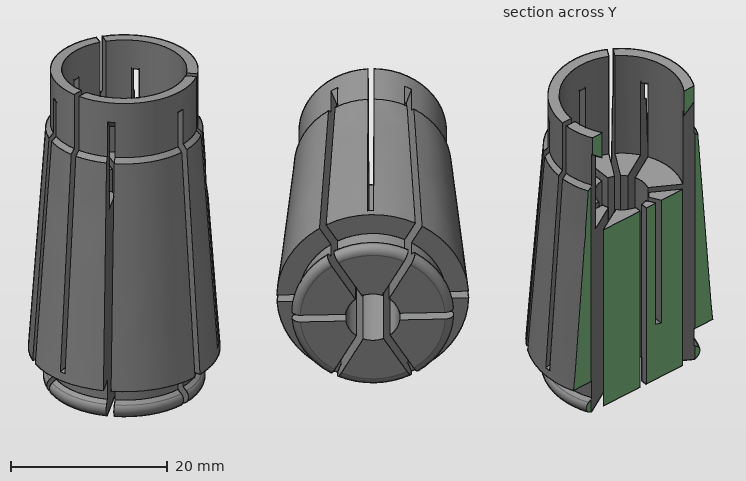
import cadquery as cq
import math

height = 45.1
neck_radius = 9.43

bead_radius = 10.35
bead_round = 1.1
bead_shoulder_z = 1.9
neck_start_z = 2.35

cone_bottom_z = 5.05
cone_bottom_diameter = 24.5
cone_bottom_radius = cone_bottom_diameter / 2
cone_top_z = 36.7
cone_half_angle = 4.0
cone_chamfer_angle = 45.0

hole_radius = 3.47
counterbore_radius = 8.0
counterbore_floor_z = 29.05

blade_radius = 20.0
lower_slot_width = 1.0
lower_slot_angles = [30, 90, 150, 210, 270, 330]
lower_blade_offset = 22.35
lower_blade_z = 27.1
upper_slot_width = 0.75
upper_slot_angles = [60, 180, 300]
upper_blade_offset = 15.55
upper_blade_z = 25.95

overrun = 0.45
slot_reach = cone_bottom_radius + overrun


def make_body():
    """Solid of revolution: bead, neck, cone, chamfer and sleeve."""
    bead_centre = bead_radius - bead_round
    shoulder_rise = bead_shoulder_z - bead_round
    shoulder_radius = bead_centre + math.sqrt(bead_round**2 - shoulder_rise**2)
    cone_length = cone_top_z - cone_bottom_z
    cone_top_radius = cone_bottom_radius - cone_length * math.tan(math.radians(cone_half_angle))
    chamfer_rise = (cone_top_radius - neck_radius) * math.tan(math.radians(cone_chamfer_angle))
    return (
        cq.Workplane("XZ")
        .lineTo(bead_centre, 0)
        .threePointArc((bead_radius, bead_round), (shoulder_radius, bead_shoulder_z))
        .lineTo(neck_radius, neck_start_z)
        .lineTo(neck_radius, cone_bottom_z)
        .lineTo(cone_bottom_radius, cone_bottom_z)
        .lineTo(cone_top_radius, cone_top_z)
        .lineTo(neck_radius, cone_top_z + chamfer_rise)
        .lineTo(neck_radius, height)
        .lineTo(0, height)
        .close()
        .revolve(360, (0, 0), (0, 1))
    )


def cut_bore(body):
    """Through hole with the counterbore opening at the top."""
    hole = cq.Workplane("XY").circle(hole_radius).extrude(height)
    counterbore = (
        cq.Workplane("XY", origin=(0, 0, counterbore_floor_z))
        .circle(counterbore_radius)
        .extrude(height - counterbore_floor_z)
    )
    return body.cut(hole).cut(counterbore)


def saw_slot(width, blade_offset, blade_z, open_z):
    """Radial slot along +X, from the blade's end arc out to the open end at open_z."""
    blade = (
        cq.Workplane("XZ", origin=(blade_offset, 0, blade_z))
        .circle(blade_radius)
        .extrude(width / 2, both=True)
    )
    run = (
        cq.Workplane("XZ")
        .moveTo(blade_offset - blade_radius, blade_z)
        .lineTo(blade_offset + blade_radius, blade_z)
        .lineTo(blade_offset + blade_radius, open_z)
        .lineTo(blade_offset - blade_radius, open_z)
        .close()
        .extrude(width / 2, both=True)
    )
    one_side = (
        cq.Workplane("XY", origin=(0, 0, -overrun))
        .rect(slot_reach, width)
        .extrude(height + 2 * overrun)
        .translate((slot_reach / 2, 0, 0))
    )
    return blade.union(run).intersect(one_side)


def cut_slots(body, slot, angles):
    """Cut one copy of the slot at each angle about Z."""
    for angle in angles:
        body = body.cut(slot.rotate((0, 0, 0), (0, 0, 1), angle))
    return body


lower_slot = saw_slot(lower_slot_width, lower_blade_offset, lower_blade_z, -overrun)
upper_slot = saw_slot(upper_slot_width, upper_blade_offset, upper_blade_z, height + overrun)

result = cut_bore(make_body())
result = cut_slots(result, lower_slot, lower_slot_angles)
result = cut_slots(result, upper_slot, upper_slot_angles)